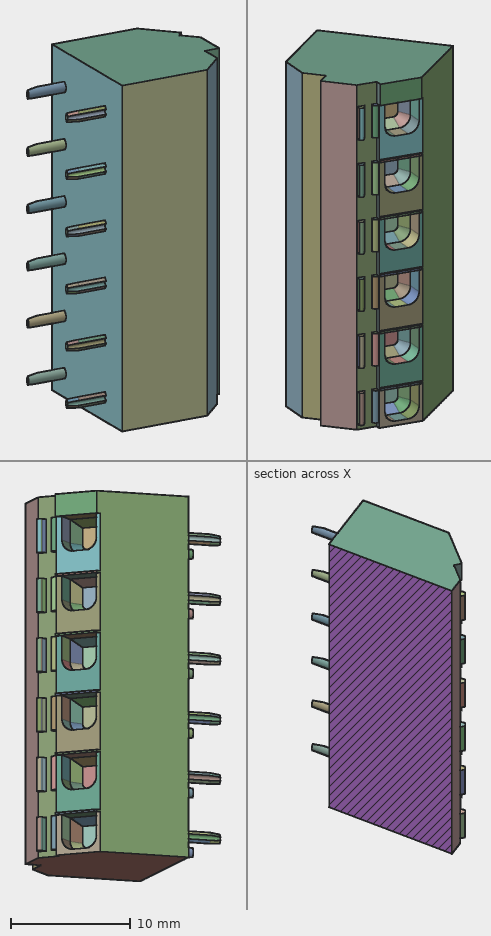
import cadquery as cq
import math

WIDTH = 12.0
HEIGHT = 30.7
BODY_DEPTH = 11.73
SHOULDER_Y = 8.17
PEAK_X = 2.73
VALLEY_X = 3.22
STEP_X = 7.75
STEP_Y = 10.35

POSITIONS = 6
PITCH_SPAN = 25.4
RECESS_TOP_Z = 28.8
RIB = 0.18
RECESS_SHIFT = 0.3

ENTRY_WIDTH = 3.2
ENTRY_HEIGHT = 3.0
ENTRY_RADIUS = 1.0
ENTRY_CENTRE_Y = 9.25
ENTRY_DEPTH = 1.63
FUNNEL_DEPTH = 1.23
FUNNEL_TAPER = 25

LEVER_LENGTH = 2.85
LEVER_GAP = 0.03
HOOK_TOP_Y = 11.98
HOOK_LEFT_X = 3.9
HOOK_FLAT_END_X = 4.25
HOOK_LIP_Y = 11.65
HOOK_FOOT_X = 4.02
HOOK_ROUND = 0.25
BAR_RADIUS = 0.3

PIN_LENGTH = 3.6
PIN_TOP_Z = 27.55
PIN_GROOVE_RADIUS = 0.2
PIN_OUTER_RADIUS = 0.52
PIN_GROOVE_X = 1.9
PIN_MIDDLE_X = 5.6
PIN_LIP_X = 2.1
PIN_TIP_LENGTH = 0.98
PIN_TIP_INSET = 0.18

pitch = PITCH_SPAN / (POSITIONS - 1)
peak_y = SHOULDER_Y + PEAK_X
valley_y = peak_y - (VALLEY_X - PEAK_X)
top_flat_x = VALLEY_X + BODY_DEPTH - valley_y
slope_offset = BODY_DEPTH - top_flat_x
far_chamfer_x = WIDTH - (STEP_Y - SHOULDER_Y)


def along_z(outline, bottom, length):
    """Extrude an XY outline (list of points) upward from Z = bottom."""
    return cq.Workplane("XY").workplane(offset=bottom).polyline(outline).close().extrude(length)


def make_body():
    return along_z(
        [
            (0, 0),
            (WIDTH, 0),
            (WIDTH, SHOULDER_Y),
            (far_chamfer_x, STEP_Y),
            (STEP_X, STEP_Y),
            (STEP_X, BODY_DEPTH),
            (top_flat_x, BODY_DEPTH),
            (VALLEY_X, valley_y),
            (PEAK_X, peak_y),
            (0, SHOULDER_Y),
        ],
        0,
        HEIGHT,
    )


def make_recess(ceiling):
    """Shallow strip off the entry chamfer; the lowest one runs out of the end face."""
    half = RECESS_SHIFT / 2
    height = pitch - RIB
    outline = [
        (0, SHOULDER_Y - RECESS_SHIFT),
        (PEAK_X + half, peak_y - half),
        (PEAK_X, peak_y),
        (0, SHOULDER_Y),
    ]
    return along_z(outline, ceiling - height, height)


def entry_outline(plane):
    """Rectangle with its two lower corners rounded, centred on the plane origin."""
    half_width = ENTRY_WIDTH / 2
    half_height = ENTRY_HEIGHT / 2
    return (
        cq.Workplane(plane)
        .moveTo(-half_width, half_height)
        .lineTo(half_width, half_height)
        .lineTo(half_width, ENTRY_RADIUS - half_height)
        .radiusArc((half_width - ENTRY_RADIUS, -half_height), ENTRY_RADIUS)
        .lineTo(ENTRY_RADIUS - half_width, -half_height)
        .radiusArc((-half_width, ENTRY_RADIUS - half_height), ENTRY_RADIUS)
        .close()
    )


def make_entry(ceiling):
    """Straight mouth followed by a tapering funnel."""
    centre_x = ENTRY_CENTRE_Y - (SHOULDER_Y - RECESS_SHIFT)
    mouth_plane = cq.Plane(
        origin=(centre_x, ENTRY_CENTRE_Y, ceiling - ENTRY_HEIGHT / 2),
        xDir=(1, 1, 0),
        normal=(1, -1, 0),
    )
    funnel_plane = cq.Plane(
        origin=mouth_plane.toWorldCoords((0, 0, ENTRY_DEPTH)),
        xDir=mouth_plane.xDir,
        normal=mouth_plane.zDir,
    )
    mouth = entry_outline(mouth_plane).extrude(ENTRY_DEPTH)
    funnel = entry_outline(funnel_plane).extrude(FUNNEL_DEPTH, taper=FUNNEL_TAPER)
    return mouth.union(funnel)


def make_lever(ceiling):
    bottom = ceiling - LEVER_GAP - LEVER_LENGTH
    hook_end_x = (HOOK_TOP_Y + HOOK_FLAT_END_X - slope_offset) / 2
    hook = along_z(
        [
            (HOOK_LEFT_X, HOOK_TOP_Y),
            (HOOK_FLAT_END_X, HOOK_TOP_Y),
            (hook_end_x, hook_end_x + slope_offset),
            (HOOK_FOOT_X, HOOK_FOOT_X + slope_offset),
            (HOOK_LEFT_X, HOOK_LIP_Y),
        ],
        bottom,
        LEVER_LENGTH,
    )
    hook = hook.edges("<X and >Y").fillet(HOOK_ROUND)
    bar = (
        cq.Workplane("XY")
        .workplane(offset=bottom)
        .center(VALLEY_X, valley_y + BAR_RADIUS)
        .circle(BAR_RADIUS)
        .extrude(LEVER_LENGTH)
    )
    return hook.union(bar)


def make_lip_taper(side):
    """Wedge that thins one slanted lip toward the pin tip; side is +1 or -1 along Z."""
    lip_run = PIN_LIP_X - PIN_GROOVE_X
    lip_rise = math.sqrt(PIN_OUTER_RADIUS**2 - lip_run**2) - PIN_GROOVE_RADIUS
    plane = cq.Plane(
        origin=(PIN_GROOVE_X, 0, side * PIN_GROOVE_RADIUS),
        xDir=(lip_rise, 0, -side * lip_run),
        normal=(lip_run, 0, side * lip_rise),
    )
    tip = -plane.yDir.y * PIN_LENGTH
    start = tip * (1 - PIN_TIP_LENGTH / PIN_LENGTH)
    wedge = cq.Workplane(plane).polyline([(0, start), (PIN_TIP_INSET, tip), (0, tip)]).close()
    return wedge.extrude(PIN_OUTER_RADIUS, both=True)


def make_left_pin():
    """C-section pin with its groove axis at PIN_GROOVE_X and Z = 0."""
    lip_z = math.sqrt(PIN_OUTER_RADIUS**2 - (PIN_LIP_X - PIN_GROOVE_X) ** 2)
    pin = (
        cq.Workplane("XZ")
        .moveTo(PIN_LIP_X, lip_z)
        .threePointArc((PIN_GROOVE_X + PIN_OUTER_RADIUS, 0), (PIN_LIP_X, -lip_z))
        .lineTo(PIN_GROOVE_X, -PIN_GROOVE_RADIUS)
        .threePointArc((PIN_GROOVE_X + PIN_GROOVE_RADIUS, 0), (PIN_GROOVE_X, PIN_GROOVE_RADIUS))
        .close()
        .extrude(PIN_LENGTH)
    )
    return pin.cut(make_lip_taper(1)).cut(make_lip_taper(-1))


left_pin = make_left_pin()
right_pin = left_pin.mirror("YZ", (PIN_MIDDLE_X, 0, 0))

result = make_body()
for position in range(POSITIONS):
    drop = position * pitch
    ceiling_z = RECESS_TOP_Z - drop
    pin_z = PIN_TOP_Z - drop
    result = result.cut(make_recess(ceiling_z)).cut(make_entry(ceiling_z))
    result = result.union(make_lever(ceiling_z))
    result = result.union(left_pin.translate((0, 0, pin_z)))
    result = result.union(right_pin.translate((0, 0, pin_z)))